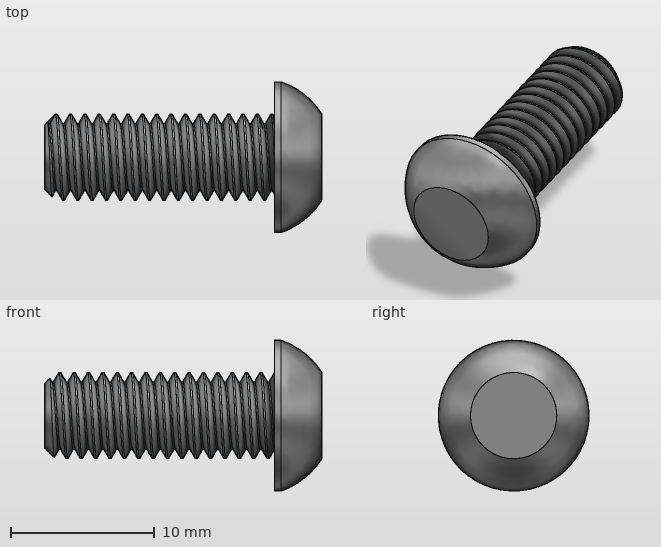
import cadquery as cq
import math

total_length = 19.3
head_diameter = 10.5
head_top_diameter = 6.0
head_rim = 0.46
shank_length = 16.0
thread_diameter = 6.0
root_diameter = 4.7
tip_chamfer = 0.75
dome_bulge = 0.3

turns = 16
pitch = shank_length / turns
root_flat = pitch / 8
flank_angle = math.radians(30)
groove_start = 0.3
seam_angle = 200
cut_clearance = 0.1


def make_head():
    rim_radius = head_diameter / 2
    top_radius = head_top_diameter / 2
    rim_end = shank_length + head_rim
    dome_height = total_length - rim_end
    dome_width = rim_radius - top_radius
    chord = math.hypot(dome_width, dome_height)
    dome_middle = (
        (rim_radius + top_radius) / 2 + dome_bulge * dome_height / chord,
        (rim_end + total_length) / 2 + dome_bulge * dome_width / chord,
    )
    return (
        cq.Workplane("XZ")
        .moveTo(0, shank_length)
        .lineTo(rim_radius, shank_length)
        .lineTo(rim_radius, rim_end)
        .threePointArc(dome_middle, (top_radius, total_length))
        .lineTo(0, total_length)
        .close()
        .revolve(360, (0, 0), (0, 1))
    )


def make_shank():
    shank = cq.Workplane("XY").circle(thread_diameter / 2).extrude(shank_length)
    return shank.faces("<Z").chamfer(tip_chamfer).rotate((0, 0, 0), (0, 0, 1), seam_angle)


def make_groove():
    """V-shaped right-hand helical cutter that runs past the end of the shank."""
    root_radius = root_diameter / 2
    outer_radius = thread_diameter / 2 + cut_clearance
    root_half = root_flat / 2
    mouth_half = root_half + (outer_radius - root_radius) * math.tan(flank_angle)
    path = cq.Wire.makeHelix(pitch, pitch * turns + pitch / 2, root_radius, cq.Vector(0, 0, groove_start))
    profile = cq.Workplane("XZ").polyline([
        (root_radius, groove_start - root_half),
        (outer_radius, groove_start - mouth_half),
        (outer_radius, groove_start + mouth_half),
        (root_radius, groove_start + root_half),
    ]).close()
    return profile.sweep(path, isFrenet=True)


screw = make_shank().cut(make_groove()).union(make_head())

result = screw.rotate((0, 0, 0), (1, 1, 1), 120)